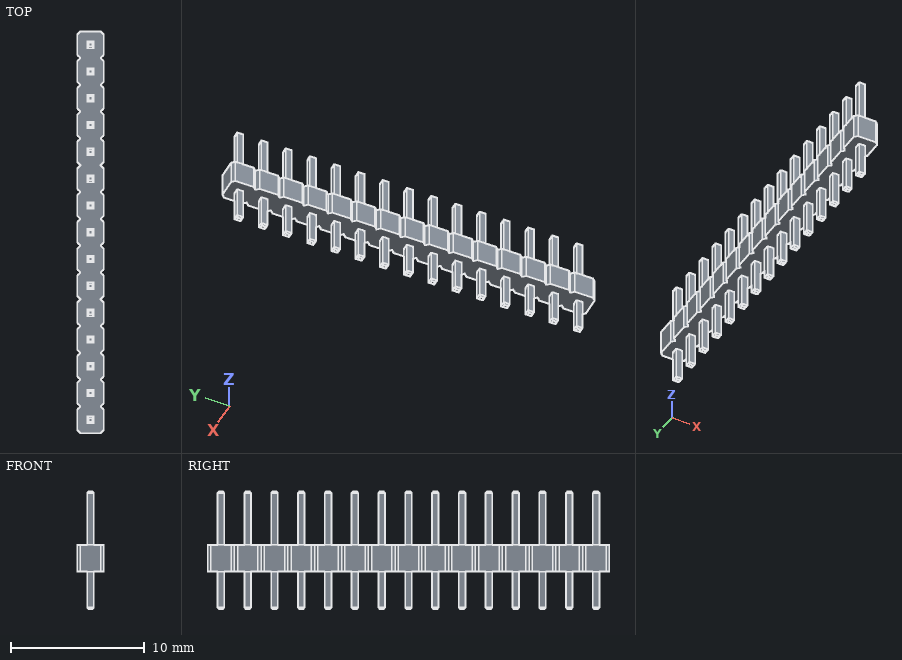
import cadquery as cq

pin_count = 15
body_length = 30.0
pin_height_above = 4.0
pin_height_below = 2.8
pin_width = 0.5
corner_chamfer = 0.25
tip_chamfer = 0.12

pitch = body_length / pin_count
cell_size = pitch
pin_length = pin_height_below + cell_size + pin_height_above
first_pin_y = -(body_length - pitch) / 2


def make_cell():
    """Cubic plastic cell with chamfered vertical corners, standing on Z = 0."""
    block = cq.Workplane("XY").box(cell_size, pitch, cell_size, centered=(True, True, False))
    return block.edges("|Z").chamfer(corner_chamfer)


def make_pin():
    """Square pin through the full cell height, bevelled at both tips."""
    blank = cq.Workplane("XY").box(pin_width, pin_width, pin_length, centered=(True, True, False))
    bevelled = blank.faces("<Z or >Z").chamfer(tip_chamfer)
    return bevelled.translate((0, 0, -pin_height_below))


contact = make_cell().union(make_pin())
header = contact.translate((0, first_pin_y, 0))
for index in range(1, pin_count):
    header = header.union(contact.translate((0, first_pin_y + index * pitch, 0)))

result = header.clean()